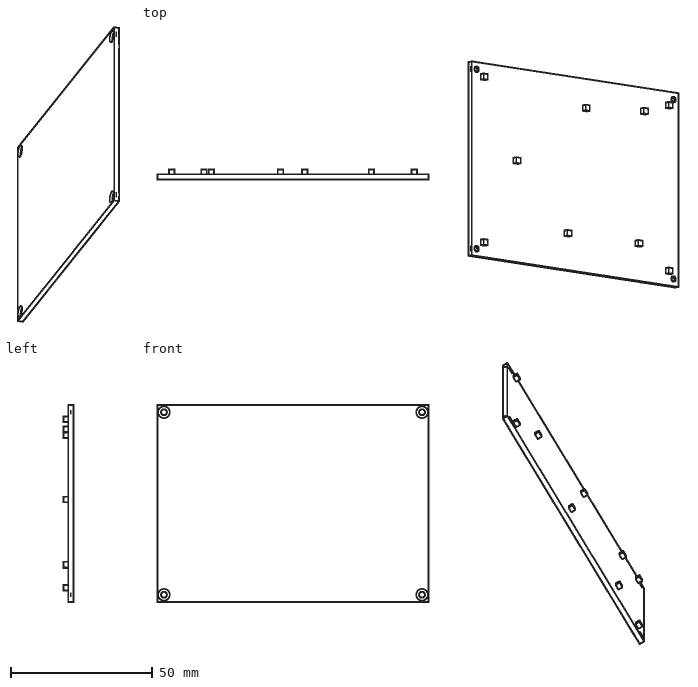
import cadquery as cq

plate_width = 96.1
plate_height = 69.9
plate_thickness = 1.9
total_depth = 3.6

hole_diameter = 2.0
counterbore_diameter = 4.1
counterbore_depth = 1.0
hole_inset_x = 2.3
hole_inset_z = 2.6

peg_side = 2.0
peg_length = total_depth - plate_thickness
peg_edge_inset = 5.1

half_width = plate_width / 2
half_height = plate_height / 2
corner_peg_x = half_width - peg_edge_inset
corner_peg_z = half_height - peg_edge_inset

corner_peg_centres = [
    (x, z) for x in (-corner_peg_x, corner_peg_x) for z in (-corner_peg_z, corner_peg_z)
]
inner_peg_centres = [
    (-31.5, 26.3),
    (-28.9, -21.6),
    (-4.4, 24.2),
    (4.1, -21.9),
    (27.8, 1.4),
]


def block(size_x, size_y, size_z):
    """Block centred on X and Z that runs from Y = 0 toward +Y."""
    return cq.Workplane("XY").box(size_x, size_y, size_z, centered=(True, False, True))


def bore(x, z, diameter, depth):
    """Round cutter that enters the plate from its outer face."""
    mouth = cq.Vector(x, 0, z)
    inward = cq.Vector(0, 1, 0)
    return cq.Workplane(cq.Solid.makeCylinder(diameter / 2, depth, mouth, inward))


def cut_corner_holes(body):
    hole_x = half_width - hole_inset_x
    hole_z = half_height - hole_inset_z
    for x in (-hole_x, hole_x):
        for z in (-hole_z, hole_z):
            body = body.cut(bore(x, z, hole_diameter, plate_thickness))
            body = body.cut(bore(x, z, counterbore_diameter, counterbore_depth))
    return body


def add_pegs(body):
    peg = block(peg_side, peg_length, peg_side)
    for x, z in corner_peg_centres + inner_peg_centres:
        body = body.union(peg.translate((x, plate_thickness, z)))
    return body


result = add_pegs(cut_corner_holes(block(plate_width, plate_thickness, plate_height)))